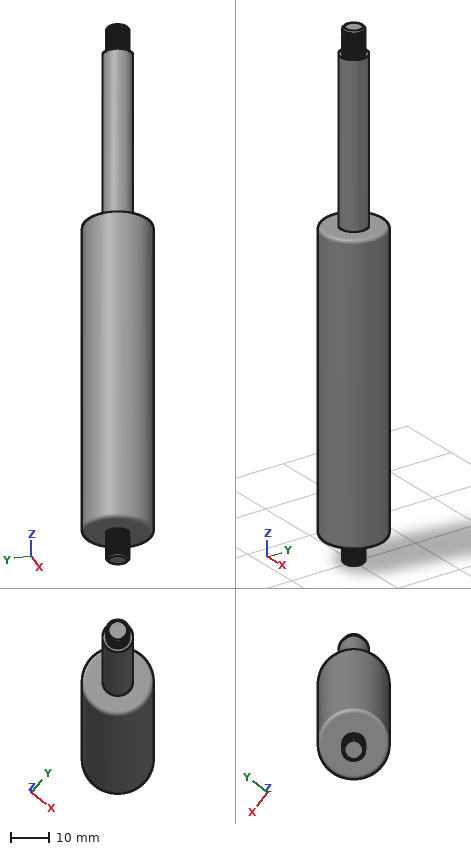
import cadquery as cq

TOTAL_LENGTH = 155.7

CYLINDER_DIAMETER = 19.0
CYLINDER_LENGTH = 90.0
RIM_RADIUS = 1.1

ROD_DIAMETER = 8.1
ROD_LENGTH = 50.0

STUD_LENGTH = (TOTAL_LENGTH - CYLINDER_LENGTH - ROD_LENGTH) / 2
THREAD_DIAMETER = 6.0
THREAD_DEPTH = 0.55
THREAD_PITCH = 1.0
CREST_WIDTH = 0.3
ROOT_WIDTH = 0.23
FLANK_WIDTH = (THREAD_PITCH - CREST_WIDTH - ROOT_WIDTH) / 2
GROOVE_COUNT = 7

CYLINDER_BOTTOM = STUD_LENGTH
CYLINDER_TOP = CYLINDER_BOTTOM + CYLINDER_LENGTH
ROD_TOP = CYLINDER_TOP + ROD_LENGTH


def make_stud():
    """Stud along +Z from the origin, its thread made of ring grooves, tapered at the tip."""
    crest_radius = THREAD_DIAMETER / 2
    root_radius = crest_radius - THREAD_DEPTH
    profile = cq.Workplane("XZ").lineTo(crest_radius, 0)

    for index in range(GROOVE_COUNT):
        groove_start = index * THREAD_PITCH + CREST_WIDTH
        root_start = groove_start + FLANK_WIDTH
        root_end = root_start + ROOT_WIDTH
        profile = profile.lineTo(crest_radius, groove_start)
        profile = profile.lineTo(root_radius, root_start)
        profile = profile.lineTo(root_radius, root_end)
        profile = profile.lineTo(crest_radius, root_end + FLANK_WIDTH)

    last_crest_end = GROOVE_COUNT * THREAD_PITCH + CREST_WIDTH
    profile = profile.lineTo(crest_radius, last_crest_end)
    profile = profile.lineTo(root_radius, STUD_LENGTH)
    profile = profile.lineTo(0, STUD_LENGTH).close()
    return profile.revolve(360, (0, 0), (0, 1))


def make_cylinder():
    """Round cylinder with rounded rims and a stud pointing down from its bottom face."""
    barrel = (
        cq.Workplane("XY")
        .workplane(offset=CYLINDER_BOTTOM)
        .circle(CYLINDER_DIAMETER / 2)
        .extrude(CYLINDER_LENGTH)
        .edges("%CIRCLE")
        .fillet(RIM_RADIUS)
    )
    stud = make_stud().rotate((0, 0, 0), (1, 0, 0), 180).translate((0, 0, CYLINDER_BOTTOM))
    return barrel.union(stud)


def make_rod():
    """Piston rod standing on the top face of the cylinder, ending in a stud."""
    shaft = (
        cq.Workplane("XY")
        .workplane(offset=CYLINDER_TOP)
        .circle(ROD_DIAMETER / 2)
        .extrude(ROD_LENGTH)
    )
    stud = make_stud().translate((0, 0, ROD_TOP))
    return shaft.union(stud)


cylinder = make_cylinder()
rod = make_rod()

result = cq.Compound.makeCompound([cylinder.val(), rod.val()])